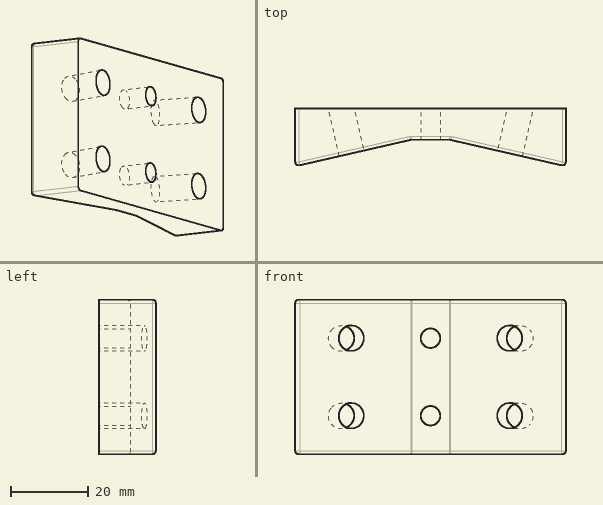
import cadquery as cq
import math

length = 70.0
height = 40.0
end_depth = 15.0
middle_depth = 8.1
middle_width = 10.0
edge_radius = 1.0

row_spacing = 20.0
middle_hole_diameter = 5.0
wing_hole_diameter = 6.6
wing_hole_x = 20.45

half_length = length / 2
half_middle = middle_width / 2
slope = (end_depth - middle_depth) / (half_length - half_middle)
wing_angle = math.atan(slope)
wing_hole_depth = middle_depth + slope * (wing_hole_x - half_middle)
row_heights = (-row_spacing / 2, row_spacing / 2)
overshoot = 1.4
cutter_length = 2 * end_depth


def make_block():
    """Extrude the plan outline and round every edge except those of the flat back."""
    block = (
        cq.Workplane("XY")
        .workplane(offset=-height / 2)
        .moveTo(-half_length, 0)
        .lineTo(half_length, 0)
        .lineTo(half_length, -end_depth)
        .lineTo(half_middle, -middle_depth)
        .lineTo(-half_middle, -middle_depth)
        .lineTo(-half_length, -end_depth)
        .close()
        .extrude(height)
    )
    back_edges = cq.selectors.BoxSelector(
        (-length, -edge_radius / 2, -height), (length, edge_radius / 2, height)
    )
    return block.edges(cq.selectors.InverseSelector(back_edges)).fillet(edge_radius)


def hole_cutter(diameter, x, depth, z, direction):
    """Cylinder entering the front face at (x, -depth, z) along a unit direction."""
    start = cq.Vector(x, -depth, z) - direction * overshoot
    return cq.Solid.makeCylinder(diameter / 2, cutter_length, start, direction)


result = make_block()
for z in row_heights:
    straight_back = cq.Vector(0, 1, 0)
    result = result.cut(
        hole_cutter(middle_hole_diameter, 0, middle_depth, z, straight_back)
    )
    for side in (-1, 1):
        normal = cq.Vector(side * math.sin(wing_angle), math.cos(wing_angle), 0)
        result = result.cut(
            hole_cutter(wing_hole_diameter, side * wing_hole_x, wing_hole_depth, z, normal)
        )